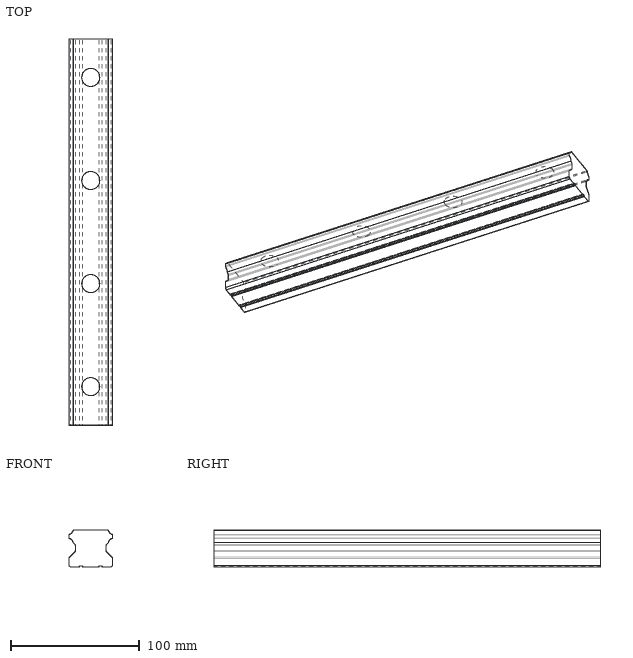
import cadquery as cq

rail_width = 34.0
rail_length = 300.0
rail_height = 29.0
half_width = rail_width / 2

top_half_width = 13.2
top_chamfer = 0.6
lip_top_z = 25.4
lip_bottom_z = 22.4
lip_rounding = 0.5
race_inner_x = top_half_width + top_chamfer
race_end_z = 19.2
upper_race_radius = 4.4
lower_race_radius = 3.8

web_half_width = 12.0
web_top_z = race_end_z - (race_inner_x - web_half_width)
web_bottom_z = 12.4
web_rounding = 1.2
base_top_z = web_bottom_z - (half_width - web_half_width)
base_chamfer = 1.4

relief_offset = 7.6
relief_width = 2.4
relief_depth = 0.8

hole_diameter = 14.0
hole_pitch = 80.0
hole_count = 4
cap_recess = 0.1


def half_section():
    """Right half of the rail cross-section, closed along the centre plane."""
    return (
        cq.Workplane("XZ", origin=(0, rail_length / 2, 0))
        .moveTo(0, rail_height)
        .lineTo(top_half_width, rail_height)
        .lineTo(race_inner_x, rail_height - top_chamfer)
        .radiusArc((half_width, lip_top_z), -upper_race_radius)
        .lineTo(half_width, lip_bottom_z)
        .radiusArc((race_inner_x, race_end_z), -lower_race_radius)
        .lineTo(web_half_width, web_top_z)
        .lineTo(web_half_width, web_bottom_z)
        .lineTo(half_width, base_top_z)
        .lineTo(half_width, base_chamfer)
        .lineTo(half_width - base_chamfer, 0)
        .lineTo(0, 0)
        .close()
    )


def round_long_edge(body, x, z, radius):
    """Round the lengthwise edge of the body that runs through (x, z)."""
    return body.edges(cq.selectors.NearestToPointSelector((x, 0, z))).fillet(radius)


def rail_half():
    """Right half of the plain rail, with its lip, web and base edges rounded."""
    half = half_section().extrude(rail_length)
    for lip_z in (lip_top_z, lip_bottom_z):
        half = round_long_edge(half, half_width, lip_z, lip_rounding)
    for web_z in (web_top_z, web_bottom_z):
        half = round_long_edge(half, web_half_width, web_z, web_rounding)
    return round_long_edge(half, half_width, base_top_z, web_rounding)


def relief_grooves():
    """Cutters for the pair of grooves in the underside."""
    return (
        cq.Workplane("XY")
        .pushPoints([(-relief_offset, 0), (relief_offset, 0)])
        .rect(relief_width, rail_length)
        .extrude(relief_depth)
    )


def cap_recesses():
    """Cutters for the shallow round recesses above the hole caps."""
    return (
        cq.Workplane("XY", origin=(0, 0, rail_height - cap_recess))
        .rarray(1, hole_pitch, 1, hole_count)
        .circle(hole_diameter / 2)
        .extrude(cap_recess)
    )


right_half = rail_half()
rail = right_half.union(right_half.mirror("YZ")).clean()
result = rail.cut(relief_grooves()).cut(cap_recesses())